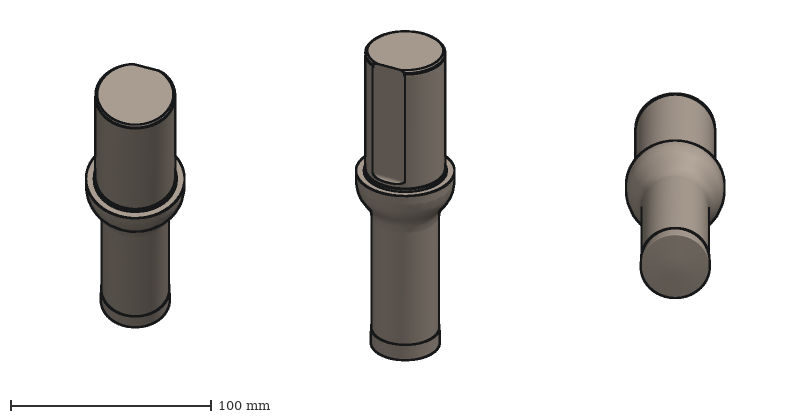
import cadquery as cq
import math

total_length = 171.0

tip_top_z = 10.1
tip_top_radius = 17.19
tip_rim_radius = 17.35
tip_corner_radius = 0.5
tip_cone_height = 1.0

body_radius = 33.9 / 2
flange_radius = 49.5 / 2
flange_top_z = 101.2
flange_bottom_z = 96.1
flange_chamfer = 0.2
transition_bottom_z = 75.0
shoulder_radius = 18.5
transition_slope = 2 * math.atan((flange_radius - body_radius) / (flange_bottom_z - transition_bottom_z))

shank_radius = 40.0 / 2
groove_radius = 39.5 / 2
groove_top_z = 169.8
groove_bottom_z = 167.8
end_chamfer = 1.0
relief_outer_radius = 20.78
relief_top_z = 102.8
relief_neck_z = 102.1
relief_depth = 0.7

flat_offset = 17.8
flat_end_z = 105.0
runout_radius = shank_radius - flat_offset


def make_tip():
    rim_z = tip_cone_height + tip_corner_radius
    corner_center_r = tip_rim_radius - tip_corner_radius
    diagonal = tip_corner_radius * math.sqrt(0.5)
    return (
        cq.Workplane("XZ")
        .lineTo(corner_center_r, tip_cone_height)
        .threePointArc((corner_center_r + diagonal, rim_z - diagonal), (tip_rim_radius, rim_z))
        .lineTo(tip_top_radius, tip_top_z)
        .lineTo(0, tip_top_z)
        .close()
        .revolve()
    )


def make_turned_holder():
    inflection_drop = shoulder_radius * math.sin(transition_slope)
    inflection_inset = shoulder_radius * (1 - math.cos(transition_slope))
    inflection = (flange_radius - inflection_inset, flange_bottom_z - inflection_drop)
    transition_points = [inflection, (flange_radius, flange_bottom_z)]
    inflection_tangent = (math.sin(transition_slope), math.cos(transition_slope))
    relief_floor_z = flange_top_z - relief_depth
    groove_middle_z = (groove_top_z + groove_bottom_z) / 2
    return (
        cq.Workplane("XZ")
        .moveTo(0, tip_top_z)
        .lineTo(body_radius, tip_top_z)
        .lineTo(body_radius, transition_bottom_z)
        .spline(
            transition_points,
            tangents=[(0, 1), inflection_tangent, (0, 1)],
            includeCurrent=True,
        )
        .lineTo(flange_radius, flange_top_z - flange_chamfer)
        .lineTo(flange_radius - flange_chamfer, flange_top_z)
        .lineTo(relief_outer_radius, flange_top_z)
        .lineTo(groove_radius, relief_floor_z)
        .lineTo(groove_radius, relief_neck_z)
        .lineTo(shank_radius, relief_top_z)
        .lineTo(shank_radius, groove_bottom_z)
        .lineTo(groove_radius, groove_middle_z)
        .lineTo(shank_radius, groove_top_z)
        .lineTo(shank_radius - end_chamfer, total_length)
        .lineTo(0, total_length)
        .close()
        .revolve()
    )


def make_flat_cutter():
    arc_center_y = flat_offset + runout_radius
    arc_center_z = flat_end_z + runout_radius
    diagonal = runout_radius * math.sqrt(0.5)
    return (
        cq.Workplane("YZ")
        .moveTo(arc_center_y, flat_end_z)
        .threePointArc(
            (arc_center_y - diagonal, arc_center_z - diagonal),
            (flat_offset, arc_center_z),
        )
        .lineTo(flat_offset, total_length)
        .lineTo(arc_center_y, total_length)
        .close()
        .extrude(shank_radius, both=True)
    )


tip = make_tip()
holder = make_turned_holder().cut(make_flat_cutter()).solids()

result = cq.Compound.makeCompound([tip.val(), holder.val()])